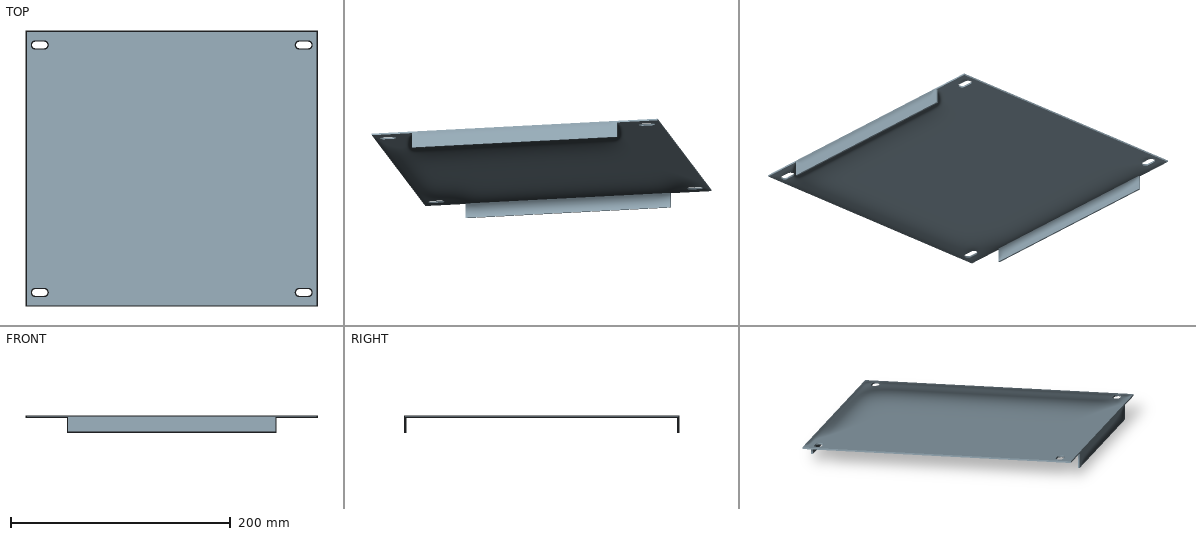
import cadquery as cq

panel_length = 265.0
panel_width = 250.0
sheet_thickness = 1.5

flange_length = 190.0
flange_height = 15.0

slot_length = 15.0
slot_width = 7.0
slot_edge_distance = 12.5
slot_spacing_x = panel_length - 2 * slot_edge_distance
slot_spacing_y = panel_width - 2 * slot_edge_distance


def make_panel():
    """Flat sheet with its top face at Z = 0."""
    return cq.Workplane("XY").rect(panel_length, panel_width).extrude(-sheet_thickness)


def make_flange(side):
    """Downward flange, flush with the panel edge on the given Y side (-1 or +1)."""
    center_y = side * (panel_width - sheet_thickness) / 2
    return (
        cq.Workplane("XY")
        .center(0, center_y)
        .rect(flange_length, sheet_thickness)
        .extrude(-flange_height)
    )


def make_mounting_slots():
    """Cutters for the through slots, one at each corner of the panel."""
    return (
        cq.Workplane("XY")
        .rect(slot_spacing_x, slot_spacing_y, forConstruction=True)
        .vertices()
        .slot2D(slot_length, slot_width)
        .extrude(-sheet_thickness)
    )


body = make_panel()
for side in (-1, 1):
    body = body.union(make_flange(side))

result = body.cut(make_mounting_slots())